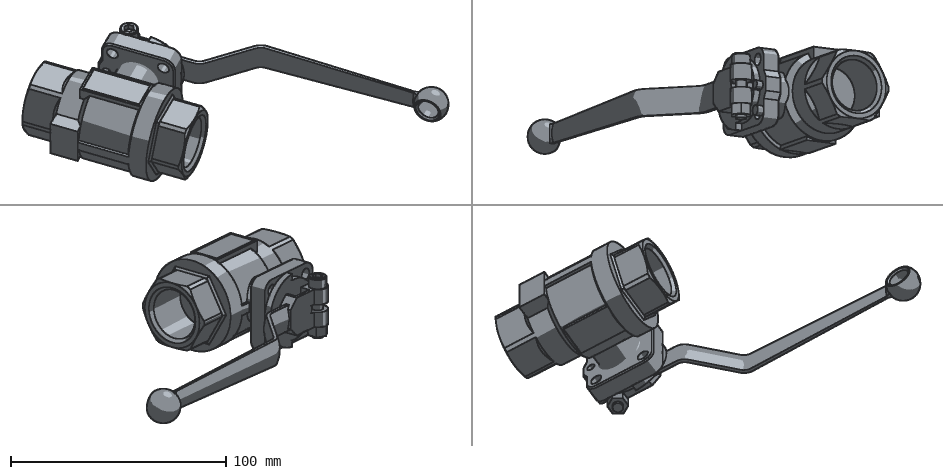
import cadquery as cq
import math


overall_length = 180.0

pipe_length = 80.0
hex_flats = 32.2
hex_round_dia = 36.0
mouth_dia = 32.0
mouth_chamfer = 0.9
bore_dia = 24.1
bore_mouth_dia = 27.3
bore_chamfer = 1.6
bore_depth = 21.6

ring_start = 16.7
ring_end = 27.7
ring_radius = 18.0
ring_bevel = 2.2
barrel_start = 30.4
flange_start = 56.0
flange_end = 64.8
flange_radius = 22.5
panel_radius = 21.0
panel_bevel = 0.9
rib_width = 4.9
hex_root = 1.0

pad_start = 25.5
pad_width = 15.7
pad_top = 22.1
pad_border = 1.0
pad_step = 0.2
lower_pad_start = 31.7
lower_pad_depth = 21.5
block_width = 19.0

stem_x = 39.8
neck_dia = 22.0
neck_fillet = 1.0
plate_bottom = 28.6
plate_top = 37.2
plate_size = 36.7
plate_corner = 5.5
plate_bevel = 0.7
bolt_hole_dia = 5.5
bolt_spacing = 25.5
lug_reach = 1.8
lug_tip_width = 6.8
lug_root_width = 13.7
stop_pin_dia = 4.0
stop_pin_inset = 2.7
stop_hole_depth = 4.5

collar_top = 40.5
collar_radius = 15.1
wing_offset = 1.6
collar_notch_width = 4.7
collar_notch_depth = 6.1
corner_pin_dia = 4.9
corner_pin_offset = 12.2

clamp_top = 47.0
clamp_width = 18.9
clamp_end = 51.0
clamp_end_chamfer = 4.7
clamp_split = 3.8
stem_dia = 10.0
window_top = 45.3
screw_x = 28.5
knuckle_dia = 9.9
screw_y = collar_top + knuckle_dia / 2
screw_head_dia = 8.5
screw_head_height = 5.0
screw_dia = 5.0
screw_head_chamfer = 0.5
socket_size = 5.0
socket_depth = 2.7
nut_height = 5.0
screw_tip = 1.5

lever_start = 47.7
lever_low_y = 43.9
lever_high_y = 65.7
lower_bend_x = 64.5
upper_bend_x = 86.2
bend_radius = 7.2
lever_width = 12.8
lever_thickness = 4.3
lever_tip_width = 9.2
lever_tip_thickness = 2.9
lever_edge_ratio = 0.4
lever_tip_x = 163.2
root_length = 2.5
root_thickness = 6.1
knob_radius = 8.1
knob_x = overall_length - knob_radius
knob_flat = 4.7
knob_bore_dia = 10.0
knob_bore_depth = 4.0
knob_bore_chamfer = 0.9


def box(x_range, y_range, z_range):
    """Box between pairs of limits along the three axes."""
    lows, highs = zip(x_range, y_range, z_range)
    sizes = [high - low for low, high in zip(lows, highs)]
    return cq.Workplane("XY").box(*sizes, centered=False).translate(lows)


def rod(diameter, length, start, direction):
    """Round rod from a start point along a direction."""
    return cq.Workplane(cq.Solid.makeCylinder(diameter / 2, length, cq.Vector(*start), cq.Vector(*direction)))


def turned(points):
    """Solid of revolution about X from (x, radius) points, closed along the axis."""
    profile = [(points[0][0], 0)] + points + [(points[-1][0], 0)]
    return cq.Workplane("XY").polyline(profile).close().revolve(360, (0, 0, 0), (1, 0, 0))


def pipe_hexagon(start, flats):
    """Sketch of the wrench hexagon with flats facing up and down."""
    corners = flats / math.cos(math.pi / 6)
    return cq.Workplane("YZ", origin=(start, 0, 0)).polygon(6, corners)


def wrench_ends():
    hexagon = pipe_hexagon(0, hex_flats).extrude(pipe_length)
    envelope = turned([
        (0, mouth_dia / 2),
        (mouth_chamfer, hex_round_dia / 2),
        (pipe_length - mouth_chamfer, hex_round_dia / 2),
        (pipe_length, mouth_dia / 2),
    ])
    root = pipe_hexagon(flange_end, hex_flats + 2 * hex_root).extrude(hex_root, taper=45)
    return hexagon.intersect(envelope).union(root)


def barrel():
    """Stepped round body; side ribs run flush into the end flange."""
    outer = turned([
        (ring_start - ring_bevel, ring_radius - ring_bevel),
        (ring_start, ring_radius),
        (ring_end, ring_radius),
        (barrel_start, panel_radius),
        (flange_start - panel_bevel, panel_radius),
        (flange_start, flange_radius),
        (flange_end, flange_radius),
    ])
    half_rib = rib_width / 2
    rib_band = box((barrel_start, flange_end), (-flange_radius, flange_radius), (-half_rib, half_rib))
    ribs = turned([(barrel_start, flange_radius), (flange_end, flange_radius)]).intersect(rib_band)
    return outer.union(ribs)


def pads():
    half = pad_width / 2
    upper = box((pad_start, flange_start), (-half, half), (0, pad_top - pad_step))
    inner = half - pad_border
    raised = box((pad_start + pad_border, flange_start - pad_border), (-inner, inner), (0, pad_top))
    lower = box((lower_pad_start, flange_start), (-half, half), (-lower_pad_depth, 0))
    block = box((ring_start, barrel_start), (-flange_radius, 0), (-block_width / 2, block_width / 2))
    return upper.union(raised).union(lower).union(block)


def pipe_bore():
    """Blind bore of the left mouth, widened at its edge."""
    return turned([
        (0, bore_mouth_dia / 2),
        (bore_chamfer, bore_dia / 2),
        (bore_depth, bore_dia / 2),
    ])


def mounting_flange():
    plan = cq.Workplane("XZ", origin=(stem_x, plate_top, 0))
    thickness = plate_top - plate_bottom
    plate = plan.rect(plate_size, plate_size).extrude(thickness).edges("|Y").fillet(plate_corner)
    edge = -plate_size / 2
    lug = (
        plan.moveTo(0, lug_root_width / 2)
        .lineTo(edge, lug_root_width / 2)
        .lineTo(edge - lug_reach, lug_tip_width / 2)
        .lineTo(edge - lug_reach, -lug_tip_width / 2)
        .lineTo(edge, -lug_root_width / 2)
        .lineTo(0, -lug_root_width / 2)
        .close()
        .extrude(thickness)
    )
    plate = plate.union(lug).faces("<Y").chamfer(plate_bevel)
    holes = plan.rect(bolt_spacing, bolt_spacing, forConstruction=True).vertices().circle(bolt_hole_dia / 2)
    pin_x = stem_x - plate_size / 2 + stop_pin_inset
    stop_hole = rod(stop_pin_dia, stop_hole_depth, (pin_x, plate_bottom, 0), (0, 1, 0))
    pin = rod(stop_pin_dia, collar_top - plate_top, (pin_x, plate_top, 0), (0, 1, 0))
    return plate.cut(holes.extrude(thickness)).cut(stop_hole).union(pin)


def neck():
    """Round neck with a concave fillet under the mounting flange."""
    radius = neck_dia / 2
    inset = neck_fillet * (1 - math.sqrt(0.5))
    return (
        cq.Workplane("XY")
        .moveTo(0, 0)
        .lineTo(radius, 0)
        .lineTo(radius, plate_bottom - neck_fillet)
        .threePointArc((radius + inset, plate_bottom - inset), (radius + neck_fillet, plate_bottom))
        .lineTo(0, plate_bottom)
        .close()
        .revolve(360, (0, 0, 0), (0, 1, 0))
        .translate((stem_x, 0, 0))
    )


def collar():
    """Disk stepped out to a wider half disk, with a slot for the stop pin and a separate corner pin."""
    height = collar_top - plate_top
    half = plate_size / 2
    levels = (plate_top, collar_top)
    disk = rod(2 * collar_radius, height, (stem_x, plate_top, 0), (0, 1, 0))
    notch_end = stem_x - collar_radius + collar_notch_depth
    notch = box((stem_x - half, notch_end), levels, (-collar_notch_width / 2, collar_notch_width / 2))
    wing_side = box((stem_x + wing_offset, stem_x + half), levels, (-half, half))
    wing = rod(plate_size, height, (stem_x, plate_top, 0), (0, 1, 0)).intersect(wing_side)
    pin_x = stem_x - half + corner_pin_dia / 2
    corner_pin = rod(corner_pin_dia, height, (pin_x, plate_top, -corner_pin_offset), (0, 1, 0))
    return disk.cut(notch).union(wing).union(corner_pin)


def clamp():
    half = clamp_width / 2
    body = box((screw_x, clamp_end), (collar_top, clamp_top), (-half, half))
    body = body.edges("|Y and >X").chamfer(clamp_end_chamfer)
    knuckle = rod(knuckle_dia, clamp_width, (screw_x, screw_y, -half), (0, 0, 1))
    body = body.union(knuckle)
    split = box(
        (screw_x - knuckle_dia, stem_x),
        (collar_top, screw_y + knuckle_dia),
        (-clamp_split / 2, clamp_split / 2),
    )
    window = box((stem_x - stem_dia / 2, stem_x + stem_dia / 2), (collar_top, window_top), (0, half))
    stem = rod(stem_dia, clamp_top - collar_top, (stem_x, collar_top, 0), (0, 1, 0))
    return body.cut(split).cut(window).union(stem)


def clamp_screw():
    """Socket screw through the clamp knuckles with a hexagon nut below."""
    half = clamp_width / 2
    shank = rod(screw_dia, clamp_width + nut_height + screw_tip, (screw_x, screw_y, half), (0, 0, -1))
    head = rod(screw_head_dia, screw_head_height, (screw_x, screw_y, half), (0, 0, 1))
    head = head.faces(">Z").chamfer(screw_head_chamfer)
    socket = (
        cq.Workplane("XY", origin=(screw_x, screw_y, half + screw_head_height))
        .polygon(6, socket_size)
        .extrude(-socket_depth)
    )
    nut = cq.Workplane("XY").polygon(6, knuckle_dia).extrude(-nut_height).rotate((0, 0, 0), (0, 0, 1), 30)
    nut = nut.translate((screw_x, screw_y, -half))
    return shank.union(head).cut(socket).union(nut)


def lever_section(plane, width, thickness):
    """Flat bar section with crowned faces and narrow straight edges."""
    edge = thickness * lever_edge_ratio / 2
    return (
        plane.moveTo(-edge, -width / 2)
        .lineTo(edge, -width / 2)
        .threePointArc((thickness / 2, 0), (edge, width / 2))
        .lineTo(-edge, width / 2)
        .threePointArc((-thickness / 2, 0), (-edge, -width / 2))
        .close()
    )


def lever():
    rise = lever_high_y - lever_low_y
    slope = math.atan2(rise, upper_bend_x - lower_bend_x)
    setback = bend_radius * math.tan(slope / 2)
    along = (setback * math.cos(slope), setback * math.sin(slope))
    handle_start = upper_bend_x + setback
    path = (
        cq.Workplane("XY")
        .moveTo(lever_start, lever_low_y)
        .lineTo(lower_bend_x - setback, lever_low_y)
        .tangentArcPoint((lower_bend_x + along[0], lever_low_y + along[1]), relative=False)
        .lineTo(upper_bend_x - along[0], lever_high_y - along[1])
        .tangentArcPoint((handle_start, lever_high_y), relative=False)
    )
    start_plane = cq.Workplane("YZ", origin=(lever_start, lever_low_y, 0))
    crank = lever_section(start_plane, lever_width, lever_thickness).sweep(path)
    handle_plane = cq.Workplane("YZ", origin=(handle_start, lever_high_y, 0))
    handle = lever_section(handle_plane, lever_width, lever_thickness)
    handle = handle.workplane(offset=lever_tip_x - handle_start)
    handle = lever_section(handle, lever_tip_width, lever_tip_thickness).loft(ruled=True)
    root_plane = cq.Workplane("YZ", origin=(lever_tip_x, lever_high_y, 0))
    root = lever_section(root_plane, lever_tip_width, lever_tip_thickness).workplane(offset=root_length)
    root = lever_section(root, lever_tip_width, root_thickness).loft(ruled=True)
    return crank.union(handle).union(root)


def knob_ball():
    return cq.Workplane("XY").sphere(knob_radius).translate((knob_x, lever_high_y, 0))


def knob_opening():
    """Everything below the flat of the knob, and the chamfered bore with its round end."""
    flat_y = lever_high_y - knob_flat
    below = box(
        (knob_x - knob_radius, knob_x + knob_radius),
        (flat_y - knob_radius, flat_y),
        (-knob_radius, knob_radius),
    )
    bore = rod(knob_bore_dia, knob_bore_depth, (knob_x, flat_y, 0), (0, 1, 0))
    bore_end = cq.Workplane("XY").sphere(knob_bore_dia / 2).translate((knob_x, flat_y + knob_bore_depth, 0))
    countersink = cq.Workplane(
        cq.Solid.makeCone(
            knob_bore_dia / 2 + knob_bore_chamfer,
            knob_bore_dia / 2,
            knob_bore_chamfer,
            cq.Vector(knob_x, flat_y, 0),
            cq.Vector(0, 1, 0),
        )
    )
    return below, bore.union(bore_end).union(countersink)


body = wrench_ends().union(barrel()).union(pads()).union(neck())
left_bore = pipe_bore()
body = body.cut(left_bore)
body = body.cut(left_bore.mirror("YZ").translate((pipe_length, 0, 0)))

knob_floor, knob_bore = knob_opening()
handle = lever().union(knob_ball().cut(knob_floor)).cut(knob_bore)

result = body
for piece in (mounting_flange(), collar(), clamp(), clamp_screw(), handle):
    result = result.union(piece)